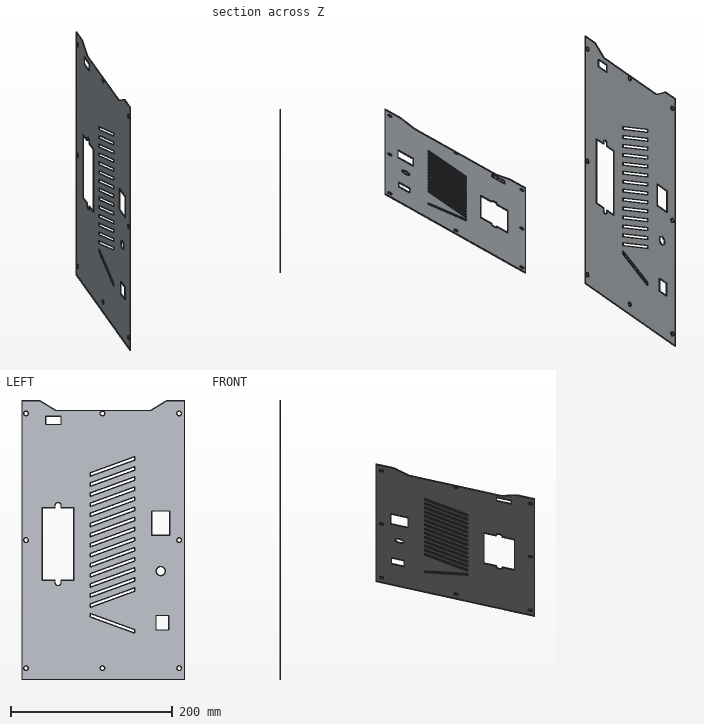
import cadquery as cq
import math

THICKNESS = 1.0
WIDTH = 202.0
HEIGHT = 346.0

RECESS_DEPTH = 12.0
SHOULDER_TOP = 22.5
SHOULDER_FOOT = 42.2

SCREW_RADIUS = 2.8
SCREW_COLUMNS = (96.0, 1.0, -94.0)
SCREW_ROWS = (14.2, 173.0, 330.0)
MIDDLE_POSITION = (1, 1)

LABEL_WINDOW = (62.0, 321.5, 18.7, 10.0)
SWITCH_WINDOW = (-71.3, 194.0, 22.0, 29.8)
SOCKET_WINDOW = (-73.5, 70.5, 15.5, 17.5)

MAIN_CENTRE_Y = 56.0
MAIN_CENTRE_Z = 168.0
MAIN_WIDTH = 38.8
MAIN_HEIGHT = 89.5
NOTCH_WIDTH = 7.3
NOTCH_DEPTH = 6.5
UPRIGHT = 90

ROUND_HOLE_Y = -71.3
ROUND_HOLE_Z = 134.5
ROUND_HOLE_RADIUS = 5.5

VENT_CENTRE_Y = -11.5
VENT_SPAN_Y = 55.0
VENT_ANGLE = 20.0
VENT_WIDTH = 3.8
VENT_COUNT = 14
LOWEST_VENT_Z = 101.7
HIGHEST_VENT_Z = 264.5
REVERSED_VENT_Z = 70.0
VENT_PITCH = (HIGHEST_VENT_Z - LOWEST_VENT_Z) / (VENT_COUNT - 1)


def extrude(sketch):
    """Give a closed YZ outline the sheet thickness, centred on X = 0."""
    return sketch.extrude(THICKNESS / 2, both=True)


def yz_plane():
    return cq.Workplane("YZ")


def sheet():
    half = WIDTH / 2
    top_y = half - SHOULDER_TOP
    foot_y = half - SHOULDER_FOOT
    recess_z = HEIGHT - RECESS_DEPTH
    outline = yz_plane().polyline([
        (-half, 0), (half, 0), (half, HEIGHT), (top_y, HEIGHT), (foot_y, recess_z),
        (-foot_y, recess_z), (-top_y, HEIGHT), (-half, HEIGHT),
    ]).close()
    return extrude(outline)


def window(centre_y, centre_z, width, height):
    return extrude(yz_plane().center(centre_y, centre_z).rect(width, height))


def screw_holes():
    centres = [
        (y, z)
        for column, y in enumerate(SCREW_COLUMNS)
        for row, z in enumerate(SCREW_ROWS)
        if (column, row) != MIDDLE_POSITION
    ]
    return extrude(yz_plane().pushPoints(centres).circle(SCREW_RADIUS))


def main_window():
    notches = extrude(
        yz_plane().center(MAIN_CENTRE_Y, MAIN_CENTRE_Z)
        .slot2D(MAIN_HEIGHT + 2 * NOTCH_DEPTH, NOTCH_WIDTH, UPRIGHT)
    )
    return window(MAIN_CENTRE_Y, MAIN_CENTRE_Z, MAIN_WIDTH, MAIN_HEIGHT).union(notches)


def vent(centre_z, angle):
    """Slot centred at centre_z that climbs towards -Y at the given angle in degrees."""
    half_span = VENT_SPAN_Y / 2
    half_rise = half_span * math.tan(math.radians(angle))
    half_height = VENT_WIDTH / 2 / math.cos(math.radians(angle))
    outline = yz_plane().center(VENT_CENTRE_Y, centre_z).polyline([
        (half_span, -half_rise - half_height), (-half_span, half_rise - half_height),
        (-half_span, half_rise + half_height), (half_span, -half_rise + half_height),
    ]).close()
    return extrude(outline)


result = sheet().cut(screw_holes()).cut(main_window())
for opening in (LABEL_WINDOW, SWITCH_WINDOW, SOCKET_WINDOW):
    result = result.cut(window(*opening))
result = result.cut(extrude(yz_plane().center(ROUND_HOLE_Y, ROUND_HOLE_Z).circle(ROUND_HOLE_RADIUS)))
for index in range(VENT_COUNT):
    result = result.cut(vent(LOWEST_VENT_Z + index * VENT_PITCH, VENT_ANGLE))
result = result.cut(vent(REVERSED_VENT_Z, -VENT_ANGLE))